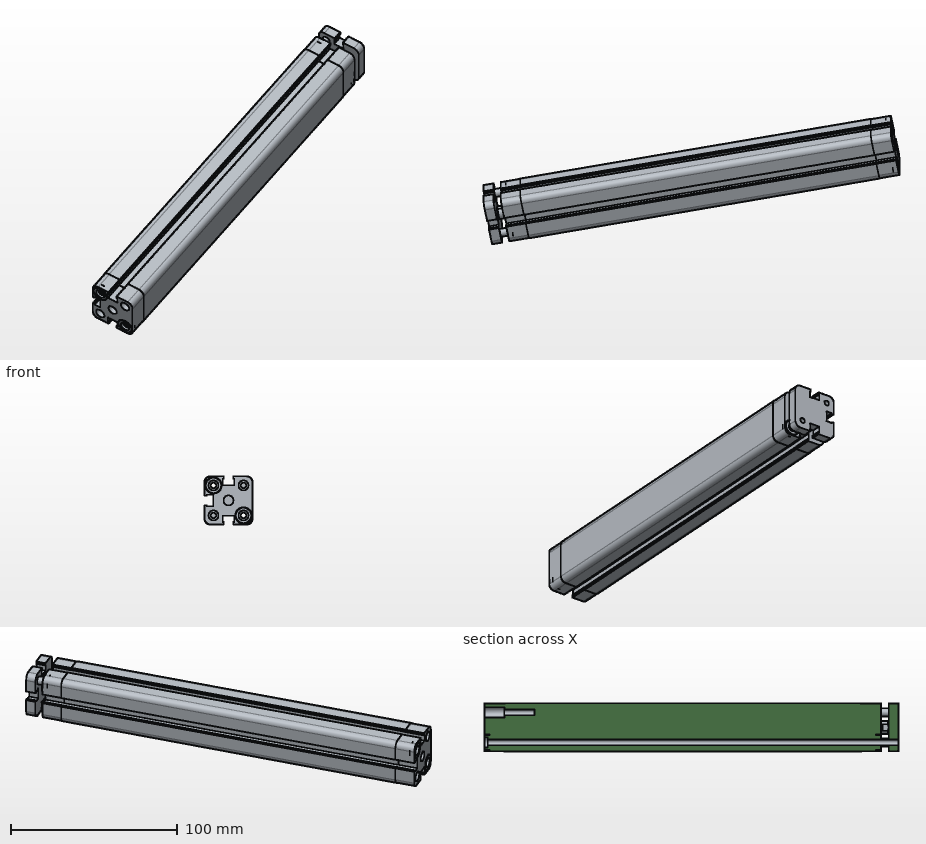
import cadquery as cq

plate_thickness = 6.0
gap_length = 4.5
cap_length = 12.0
total_length = 248.5
body_length = total_length - plate_thickness - gap_length
tube_length = body_length - 2 * cap_length
plate_start = body_length + gap_length

tube_width = 29.05
cap_width = 28.8
corner_radius = 3.7

slot_opening = 5.5
slot_inner_width = 6.7
slot_lip = 1.5
slot_depth = 5.3
slot_chamfer = 0.3

corner_offset = 9.0
guide_rod_diameter = 5.0
core_bore_diameter = 3.24
blind_bore_diameter = 6.0
blind_bore_depth = 12.0
blind_core_depth = 30.0
groove_outer_diameter = 9.8
groove_inner_diameter = 9.2
groove_depth = 3.0
screw_seat_diameter = 6.0
screw_seat_depth = 2.0
centre_bore_diameter = 6.0
centre_bore_depth = 6.0

rod_diameter = 8.0
rod_flats = 7.0
rod_end_chamfer = 0.6
flats_length = 3.5

rod_corners = [(-corner_offset, corner_offset), (corner_offset, -corner_offset)]
blind_corners = [(corner_offset, corner_offset), (-corner_offset, -corner_offset)]


def plane_at(y):
    """XZ plane at the given Y, with its normal along +Y and local axes X and -Z."""
    return cq.Workplane(cq.Plane(origin=(0, y, 0), xDir=(1, 0, 0), normal=(0, 1, 0)))


def cylinders(points, diameter, start, length):
    """Cylinders along +Y centred on (x, z) points."""
    local_points = [(x, -z) for x, z in points]
    return plane_at(start).pushPoints(local_points).circle(diameter / 2).extrude(length)


def slot_cutter(width, start, length):
    """T-slot with chamfered mouth, opening upwards through a bar of the given width."""
    top = width / 2
    mouth = slot_opening / 2
    inner = slot_inner_width / 2
    right_side = [
        (mouth + slot_chamfer, top),
        (mouth, top - slot_chamfer),
        (mouth, top - slot_lip),
        (inner, top - slot_lip),
        (inner, top - slot_depth),
    ]
    left_side = [(-x, z) for x, z in reversed(right_side)]
    outline = [(x, -z) for x, z in right_side + left_side]
    return plane_at(start).polyline(outline).close().extrude(length)


def profile_bar(width, start, length):
    """Square bar along Y with rounded corners and slots on all sides but +X."""
    bar = plane_at(start).rect(width, width).extrude(length)
    bar = bar.edges("|Y").fillet(corner_radius)
    cutter = slot_cutter(width, start, length)
    for angle in (0, 180, -90):
        bar = bar.cut(cutter.rotate((0, 0, 0), (0, 1, 0), angle))
    return bar


def ring_grooves(start):
    """Annular cutters around the two guide-rod axes."""
    outer = cylinders(rod_corners, groove_outer_diameter, start, groove_depth)
    return outer.cut(cylinders(rod_corners, groove_inner_diameter, start, groove_depth))


def piston_rod():
    """Rod across the gap, chamfered at the plate, with two wrench flats facing +-X."""
    rod = cylinders([(0, 0)], rod_diameter, body_length, gap_length)
    rod = rod.faces(">Y").chamfer(rod_end_chamfer)
    flat_depth = (rod_diameter - rod_flats) / 2
    for side in (-1, 1):
        flat = cq.Workplane("XY").box(flat_depth, flats_length, rod_diameter)
        flat_x = side * (rod_flats + flat_depth) / 2
        rod = rod.cut(flat.translate((flat_x, plate_start - flats_length / 2, 0)))
    return rod


result = profile_bar(cap_width, 0, cap_length)
result = result.union(profile_bar(tube_width, cap_length, tube_length))
result = result.union(profile_bar(cap_width, cap_length + tube_length, cap_length))
result = result.union(profile_bar(cap_width, plate_start, plate_thickness))
result = result.union(piston_rod())
result = result.union(cylinders(rod_corners, guide_rod_diameter, body_length, gap_length))

for groove_start in (0, body_length - groove_depth):
    result = result.cut(ring_grooves(groove_start))

result = result.cut(cylinders(rod_corners, core_bore_diameter, 0, total_length))
result = result.cut(cylinders(rod_corners, screw_seat_diameter, 0, screw_seat_depth))

result = result.cut(cylinders(blind_corners, core_bore_diameter, 0, blind_core_depth))
result = result.cut(cylinders(blind_corners, blind_bore_diameter, 0, blind_bore_depth))
result = result.cut(cylinders([(0, 0)], centre_bore_diameter, 0, centre_bore_depth))